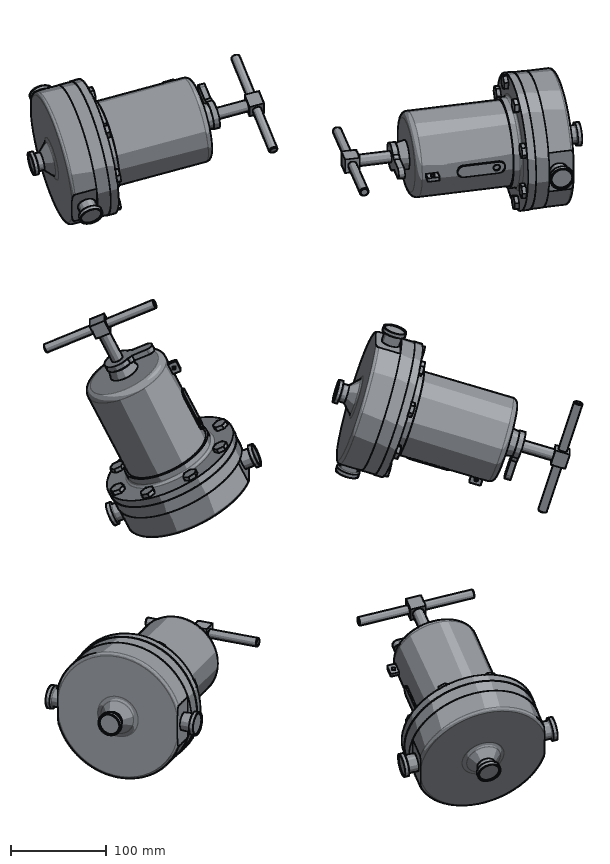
import cadquery as cq
import math


BODY_START = 22.2
RING_START = 49.3
FLANGE_START = 63.6
FLANGE_END = 72.3
COLLAR_END = 81.8
BARREL_END = 186.3
HUB_END = 196.9
LEVER_END = 203.4
TOTAL_LENGTH = 254.0

BODY_RADIUS = 72.2
BODY_EDGE_FILLET = 3.175
FLAT_OFFSET = 68.2
RING_RADIUS = 72.4
FLANGE_RADIUS = 73.025
COLLAR_RADIUS = 48.1
COLLAR_FILLET = 3.0
BARREL_RADIUS = 45.7
BARREL_EDGE_FILLET = 6.35
HUB_BASE_RADIUS = 15.65
HUB_TOP_RADIUS = 13.5

FERRULE_RADIUS = 12.5
FERRULE_RIM = 4.5
FERRULE_FILLET = 1.1
NECK_RADIUS = 9.75
DISH_RIM_RADIUS = 11.6
DISH_FLOOR_RADIUS = 10.9
DISH_DEPTH = 0.7

CONE_ANGLE = math.radians(45)
CONE_START = 11.5
CONE_FILLET = 6.35

PORT_SPAN = 168.15
PORT_Y = 38.4

BOLT_COUNT = 8
HEX_SIDES = 6
BOLT_CIRCLE_RADIUS = 64.1
BOLT_ACROSS_FLATS = 13.6
BOLT_HEAD_HEIGHT = 4.7

LEVER_RING_RADIUS = 14.85
LEVER_HALF_WIDTH = 6.35
LEVER_REACH = 40.1
LEVER_BLEND = 6.35

STEM_RADIUS = 6.2
BLOCK_WIDTH = 16.7
BLOCK_LENGTH = 15.9
BAR_RADIUS = 4.7625
BAR_LENGTH = 127.0
BAR_CHAMFER = 0.9

LUG_REACH = 55.0
LUG_CENTER_Y = 169.4
LUG_LENGTH = 12.8
LUG_THICKNESS = 4.3
LUG_CORNER_FILLET = 1.6
LUG_HOLE_X = -49.8
LUG_HOLE_DIAMETER = 4.0

PLATE_FACE = 47.1
PLATE_THICKNESS = 2.0
PLATE_CENTER_Y = 116.4
PLATE_LENGTH = 51.2
PLATE_WIDTH = 13.6
PLATE_HOLE_Y = 99.9
PLATE_HOLE_DIAMETER = 7.0


def turned(profile):
    """Solid of revolution about Y from a closed (radius, y) profile."""
    return profile.close().revolve(360, (0, 0, 0), (0, 1, 0))


def disc(radius, start, end):
    """Cylinder along Y between two stations."""
    return cq.Workplane("XZ", origin=(0, start, 0)).circle(radius).extrude(start - end)


def along_y(sketch_y):
    """Workplane whose local axes are -X and Z, and whose positive extrusion is toward +Y."""
    return cq.Workplane(cq.Plane(origin=(0, sketch_y, 0), xDir=(-1, 0, 0), normal=(0, 1, 0)))


def facing_minus_x(face_x):
    """Workplane whose local axes are +Y and -Z, and whose positive extrusion is toward -X."""
    return cq.Workplane(cq.Plane(origin=(face_x, 0, 0), xDir=(0, 1, 0), normal=(-1, 0, 0)))


def ferrule(length):
    """Clamp ferrule along +Y with its rim at Y = 0 and a shallow dished sealing face."""
    fillet_end = FERRULE_RIM + FERRULE_FILLET
    return turned(
        cq.Workplane("XY")
        .moveTo(0, DISH_DEPTH)
        .lineTo(DISH_FLOOR_RADIUS, DISH_DEPTH)
        .lineTo(DISH_RIM_RADIUS, 0)
        .lineTo(FERRULE_RADIUS, 0)
        .lineTo(FERRULE_RADIUS, FERRULE_RIM)
        .lineTo(NECK_RADIUS + FERRULE_FILLET, FERRULE_RIM)
        .radiusArc((NECK_RADIUS, fillet_end), FERRULE_FILLET)
        .lineTo(NECK_RADIUS, length)
        .lineTo(0, length)
    )


def body():
    """Lower body with a rounded outer edge and a flat on each side for the ports."""
    solid = disc(BODY_RADIUS, BODY_START, RING_START)
    slab_size = 2 * BODY_RADIUS
    slab = cq.Workplane("XY").box(2 * FLAT_OFFSET, TOTAL_LENGTH, slab_size)
    solid = solid.faces("<Y").edges().fillet(BODY_EDGE_FILLET)
    return solid.intersect(slab)


def outlet():
    """Outlet ferrule and the cone that runs into the body face."""
    base_radius = NECK_RADIUS + (BODY_START - CONE_START) * math.tan(CONE_ANGLE)
    tangent_length = CONE_FILLET * math.tan((math.pi / 2 - CONE_ANGLE) / 2)
    blend_rise = tangent_length * math.cos(CONE_ANGLE)
    blend_run = tangent_length * math.sin(CONE_ANGLE)
    cone = turned(
        cq.Workplane("XY")
        .moveTo(0, CONE_START)
        .lineTo(NECK_RADIUS, CONE_START)
        .lineTo(base_radius - blend_run, BODY_START - blend_rise)
        .radiusArc((base_radius + tangent_length, BODY_START), CONE_FILLET)
        .lineTo(base_radius + tangent_length, BODY_START + BODY_EDGE_FILLET)
        .lineTo(0, BODY_START + BODY_EDGE_FILLET)
    )
    return ferrule(CONE_START).union(cone)


def side_port(side):
    """Ferrule on the +X (side = 1) or -X (side = -1) flat of the body."""
    half_span = PORT_SPAN / 2
    port = ferrule(half_span - BODY_RADIUS / 2).rotate((0, 0, 0), (0, 0, 1), side * 90)
    return port.translate((side * half_span, PORT_Y, 0))


def collar():
    """Collar at the foot of the barrel, blended into the flange."""
    return turned(
        cq.Workplane("XY")
        .moveTo(0, FLANGE_END)
        .lineTo(COLLAR_RADIUS + COLLAR_FILLET, FLANGE_END)
        .radiusArc((COLLAR_RADIUS, FLANGE_END + COLLAR_FILLET), COLLAR_FILLET)
        .lineTo(COLLAR_RADIUS, COLLAR_END)
        .lineTo(0, COLLAR_END)
    )


def barrel():
    """Spring barrel with a rounded end and a tapered hub."""
    shell = disc(BARREL_RADIUS, COLLAR_END, BARREL_END).faces(">Y").edges().fillet(BARREL_EDGE_FILLET)
    hub = turned(
        cq.Workplane("XY")
        .moveTo(0, BARREL_END)
        .lineTo(HUB_BASE_RADIUS, BARREL_END)
        .lineTo(HUB_TOP_RADIUS, HUB_END)
        .lineTo(0, HUB_END)
    )
    return shell.union(hub)


def bolt_heads():
    """Hexagon heads on the flange, each with a flat facing the axis."""
    half_side_angle = 180 / HEX_SIDES
    across_corners = BOLT_ACROSS_FLATS / math.cos(math.radians(half_side_angle))
    pitch = 360 / BOLT_COUNT
    head = (
        along_y(FLANGE_END)
        .polygon(HEX_SIDES, across_corners)
        .extrude(BOLT_HEAD_HEIGHT)
        .rotate((0, 0, 0), (0, 1, 0), half_side_angle)
        .translate((BOLT_CIRCLE_RADIUS, 0, 0))
    )
    heads = cq.Workplane("XY")
    for index in range(BOLT_COUNT):
        heads = heads.add(head.rotate((0, 0, 0), (0, 1, 0), (index + 0.5) * pitch))
    return heads.combine()


def lock_lever():
    """Flat ring with a round-ended arm toward -X, blended where the arm leaves the ring."""
    blend_z = LEVER_HALF_WIDTH + LEVER_BLEND
    blend_x = math.sqrt((LEVER_RING_RADIUS + LEVER_BLEND) ** 2 - blend_z**2)
    on_ring = LEVER_RING_RADIUS / (LEVER_RING_RADIUS + LEVER_BLEND)
    ring_x = blend_x * on_ring
    ring_z = blend_z * on_ring
    end_x = LEVER_REACH - LEVER_HALF_WIDTH
    return (
        along_y(HUB_END)
        .moveTo(ring_x, ring_z)
        .threePointArc((-LEVER_RING_RADIUS, 0), (ring_x, -ring_z))
        .radiusArc((blend_x, -LEVER_HALF_WIDTH), -LEVER_BLEND)
        .lineTo(end_x, -LEVER_HALF_WIDTH)
        .threePointArc((LEVER_REACH, 0), (end_x, LEVER_HALF_WIDTH))
        .lineTo(blend_x, LEVER_HALF_WIDTH)
        .radiusArc((ring_x, ring_z), -LEVER_BLEND)
        .close()
        .extrude(LEVER_END - HUB_END)
    )


def tee_handle():
    """Adjusting stem, square block and cross bar."""
    block_y = TOTAL_LENGTH - BLOCK_LENGTH / 2
    stem = disc(STEM_RADIUS, LEVER_END, block_y)
    block = cq.Workplane("XY").box(BLOCK_WIDTH, BLOCK_LENGTH, BLOCK_WIDTH).translate((0, block_y, 0))
    bar = (
        cq.Workplane("YZ", origin=(0, block_y, 0))
        .circle(BAR_RADIUS)
        .extrude(BAR_LENGTH / 2, both=True)
        .faces("<X or >X")
        .chamfer(BAR_CHAMFER)
    )
    return stem.union(block).union(bar)


def lug():
    """Drilled lug standing out of the barrel toward -X."""
    root = BARREL_RADIUS / 2
    plate = (
        cq.Workplane("XY")
        .box(LUG_REACH - root, LUG_LENGTH, LUG_THICKNESS)
        .translate((-(LUG_REACH + root) / 2, LUG_CENTER_Y, 0))
        .edges("|Z and <X")
        .fillet(LUG_CORNER_FILLET)
    )
    hole = (
        cq.Workplane("XY")
        .center(LUG_HOLE_X, LUG_CENTER_Y)
        .circle(LUG_HOLE_DIAMETER / 2)
        .extrude(LUG_THICKNESS, both=True)
    )
    return plate.cut(hole)


def nameplate():
    """Round-ended plate on the -X side of the barrel, holed near the flange."""
    plate = (
        facing_minus_x(PLATE_THICKNESS - PLATE_FACE)
        .center(PLATE_CENTER_Y, 0)
        .slot2D(PLATE_LENGTH, PLATE_WIDTH)
        .extrude(PLATE_THICKNESS)
    )
    hole = (
        facing_minus_x(PLATE_THICKNESS - PLATE_FACE)
        .center(PLATE_HOLE_Y, 0)
        .circle(PLATE_HOLE_DIAMETER / 2)
        .extrude(PLATE_THICKNESS)
    )
    return plate.cut(hole)


pieces = [
    outlet(),
    side_port(1),
    side_port(-1),
    disc(RING_RADIUS, RING_START, FLANGE_START),
    disc(FLANGE_RADIUS, FLANGE_START, FLANGE_END),
    collar(),
    barrel(),
    bolt_heads(),
    lock_lever(),
    tee_handle(),
    lug(),
    nameplate(),
]

result = body()
for piece in pieces:
    result = result.union(piece)